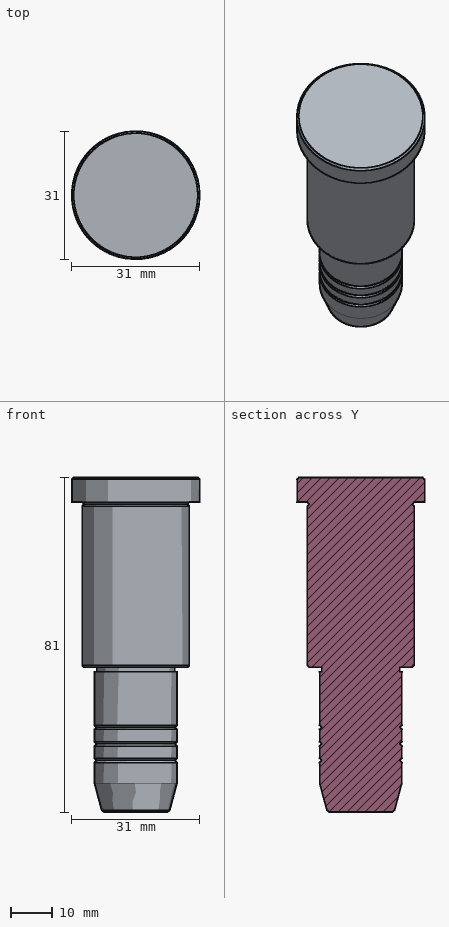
import cadquery as cq
import math

total_length = 81.0
head_diameter = 31.0
head_height = 6.0
body_diameter = 26.0
body_end_depth = 46.0
nose_diameter = 20.0
edge_chamfer = 0.5

relief_width = 1.0
relief_depth = 0.5

nose_groove_count = 3
nose_groove_pitch = 4.0
first_nose_groove_depth = 60.5
groove_width = 1.0
groove_depth = 0.5

taper_length = 7.0
taper_angle = 15.0

head_radius = head_diameter / 2
body_radius = body_diameter / 2
nose_radius = nose_diameter / 2
tip_radius = nose_radius - taper_length * math.tan(math.radians(taper_angle))
head_bottom = total_length - head_height
body_bottom = total_length - body_end_depth


def cylinder(radius, bottom, top):
    return cq.Workplane("XY").workplane(offset=bottom).circle(radius).extrude(top - bottom)


def make_head():
    return cylinder(head_radius, head_bottom, total_length).faces(">Z").chamfer(edge_chamfer)


def make_body():
    return cylinder(body_radius, body_bottom, head_bottom).faces("<Z").chamfer(edge_chamfer)


def make_nose():
    """Nose cylinder with its tapered, chamfered tip."""
    outline = (
        cq.Workplane("XZ")
        .moveTo(0, 0)
        .lineTo(tip_radius, 0)
        .lineTo(nose_radius, taper_length)
        .lineTo(nose_radius, body_bottom)
        .lineTo(0, body_bottom)
        .close()
    )
    return outline.revolve(360, (0, 0, 0), (0, 1, 0)).faces("<Z").chamfer(edge_chamfer)


def relief_cutter(shaft_radius, top):
    """Square-cornered ring that undercuts a shaft directly below a shoulder."""
    outer = cylinder(shaft_radius, top - relief_width, top)
    return outer.cut(cylinder(shaft_radius - relief_depth, top - relief_width, top))


def v_groove_cutter(shaft_radius, middle):
    """Ring with a triangular section, its point toward the axis."""
    half_width = groove_width / 2
    outline = (
        cq.Workplane("XZ")
        .moveTo(shaft_radius, middle - half_width)
        .lineTo(shaft_radius - groove_depth, middle)
        .lineTo(shaft_radius, middle + half_width)
        .close()
    )
    return outline.revolve(360, (0, 0, 0), (0, 1, 0))


result = make_head().union(make_body()).union(make_nose())
result = result.cut(v_groove_cutter(body_radius, head_bottom - groove_width / 2))
result = result.cut(relief_cutter(nose_radius, body_bottom))
for index in range(nose_groove_count):
    groove_middle = total_length - first_nose_groove_depth - index * nose_groove_pitch
    result = result.cut(v_groove_cutter(nose_radius, groove_middle))